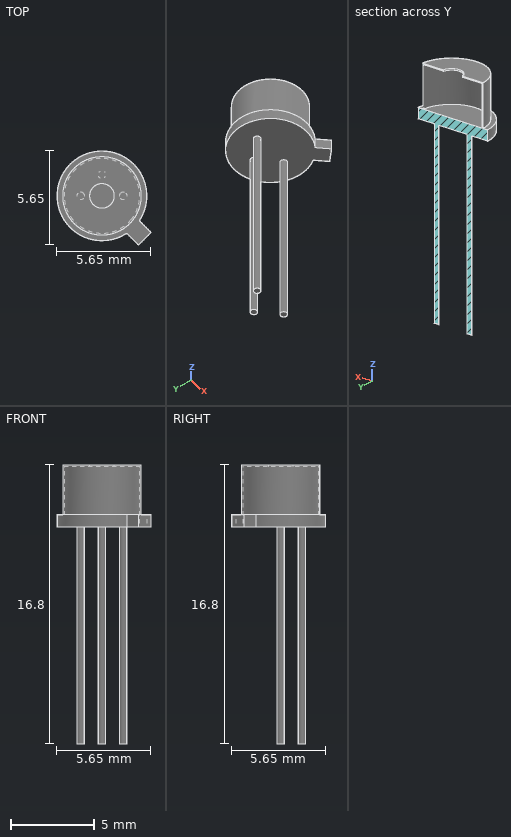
import cadquery as cq

total_height = 16.75
flange_thickness = 0.75
can_height = 2.98
lead_length = total_height - flange_thickness - can_height

flange_diameter = 5.4
tab_width = 1.07
tab_reach = 3.63
tab_angle = -45.0

can_diameter = 4.7
window_diameter = 1.47
can_inner_diameter = 4.5
wall = (can_diameter - can_inner_diameter) / 2

lead_diameter = 0.45
lead_circle_radius = 1.27
lead_count = 3
first_lead_angle = 0
lead_spacing_angle = 90


def make_header():
    """Round flange with its underside at Z = 0, and a square-ended radial tab."""
    disc = cq.Workplane("XY").circle(flange_diameter / 2).extrude(flange_thickness)
    tab = (
        cq.Workplane("XY")
        .center(tab_reach / 2, 0)
        .rect(tab_reach, tab_width)
        .extrude(flange_thickness)
        .rotate((0, 0, 0), (0, 0, 1), tab_angle)
    )
    return disc.union(tab)


def make_can():
    """Thin-walled cap standing on the flange, open through the roof window."""
    base = cq.Workplane("XY").workplane(offset=flange_thickness)
    shell = base.circle(can_diameter / 2).extrude(can_height)
    cavity = base.circle(can_inner_diameter / 2).extrude(can_height - wall)
    window = base.circle(window_diameter / 2).extrude(can_height)
    return shell.cut(cavity).cut(window)


def make_leads():
    """Straight round leads hanging from the underside of the flange."""
    return (
        cq.Workplane("XY")
        .polarArray(lead_circle_radius, first_lead_angle, lead_spacing_angle, lead_count, fill=False)
        .circle(lead_diameter / 2)
        .extrude(-lead_length)
    )


result = make_header().union(make_can()).union(make_leads())